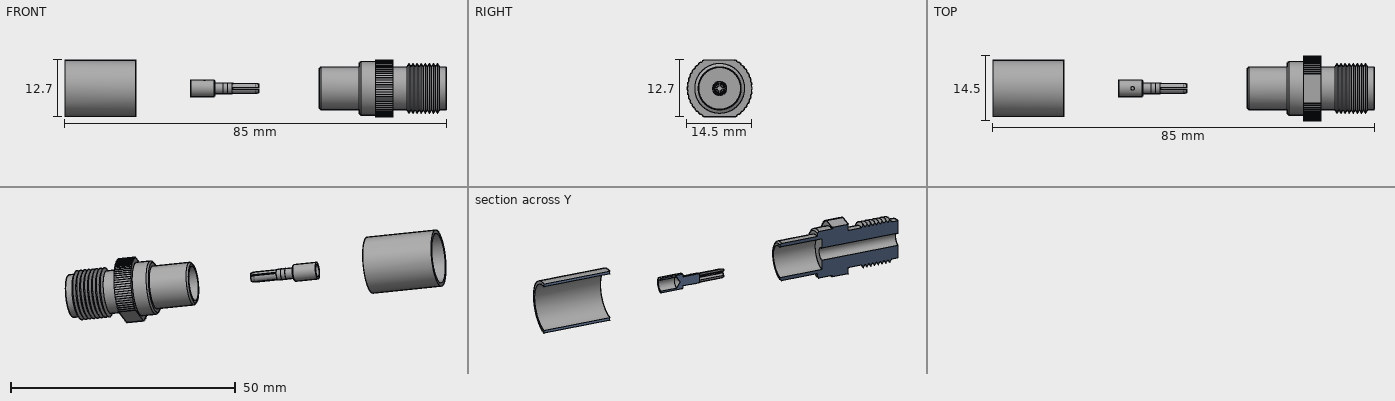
import cadquery as cq
import math

TOTAL_LENGTH = 84.95
TOOL_REACH = 10.0

FERRULE_LENGTH = 15.8
FERRULE_OUTER_RADIUS = 6.3
FERRULE_INNER_RADIUS = 5.55

CONTACT_START = 28.0
CONTACT_LENGTH = 15.2
CUP_LENGTH = 5.4
CUP_RADIUS = 1.9
CUP_CHAMFER = 0.25
CUP_BORE_RADIUS = 1.35
CUP_BORE_DEPTH = 3.8
DRILL_POINT_ANGLE = 118.0
SIGHT_HOLE_RADIUS = 0.4
SIGHT_HOLE_OFFSET = 3.1
SHANK_RADIUS = 1.2
BARB_RADIUS = 1.25
BARB_OFFSET = 7.2
BARB_PITCH = 1.0
BARB_COUNT = 2
TIP_SLOT_LENGTH = 5.8
TIP_SLOT_WIDTH = 0.3
TIP_RADIUS = 1.15
TIP_BORE_RADIUS = 0.6
TIP_NOSE_LENGTH = 0.8
TIP_END_RADIUS = 0.95

BODY_START = 56.6
BARREL_RADIUS = 4.8
BARREL_CHAMFER = 0.4
COLLAR_START = 65.5
COLLAR_RADIUS = 6.0
COLLAR_CHAMFER = 0.4
KNURL_START = 69.1
KNURL_LENGTH = 3.9
KNURL_RADIUS = 7.24
KNURL_TOOTH_COUNT = 42
KNURL_DEPTH = 0.12
KNURL_FLAT_SPACING = 12.7
NOSE_CHAMFER = 0.15
CABLE_BORE_RADIUS = 3.85
CABLE_BORE_DEPTH = 10.0
CONTACT_BORE_RADIUS = 1.5

THREAD_RADIUS = 5.55
THREAD_PITCH = 25.4 / 28
THREAD_RIDGE_COUNT = 8
THREAD_FIRST_CREST = 76.6


def revolve_about_x(profile):
    """Turn a sketch of (x, radius) points about the X axis."""
    return profile.close().revolve(360, (0, 0, 0), (1, 0, 0))


def cylinder_along_x(start, length, radius):
    return cq.Workplane("YZ", origin=(start, 0, 0)).circle(radius).extrude(length)


def make_ferrule():
    tube = cylinder_along_x(0, FERRULE_LENGTH, FERRULE_OUTER_RADIUS)
    return tube.cut(cylinder_along_x(0, FERRULE_LENGTH, FERRULE_INNER_RADIUS))


def make_contact():
    cup_end = CONTACT_START + CUP_LENGTH
    first_barb = CONTACT_START + BARB_OFFSET
    barbs_end = first_barb + BARB_COUNT * BARB_PITCH
    tip_end = CONTACT_START + CONTACT_LENGTH
    profile = (
        cq.Workplane("XY")
        .moveTo(CONTACT_START, 0)
        .lineTo(CONTACT_START, CUP_RADIUS)
        .lineTo(cup_end - CUP_CHAMFER, CUP_RADIUS)
        .lineTo(cup_end, CUP_RADIUS - CUP_CHAMFER)
        .lineTo(cup_end, SHANK_RADIUS)
        .lineTo(first_barb, SHANK_RADIUS)
    )
    for index in range(BARB_COUNT):
        barb_start = first_barb + index * BARB_PITCH
        profile = (
            profile.lineTo(barb_start, BARB_RADIUS)
            .lineTo(barb_start + BARB_PITCH, SHANK_RADIUS)
        )
    profile = (
        profile.lineTo(barbs_end, TIP_RADIUS)
        .lineTo(tip_end - TIP_NOSE_LENGTH, TIP_RADIUS)
        .tangentArcPoint((tip_end, TIP_END_RADIUS), relative=False)
        .lineTo(tip_end, 0)
    )
    contact = revolve_about_x(profile)

    bore_end = CONTACT_START + CUP_BORE_DEPTH
    drill_point_length = CUP_BORE_RADIUS / math.tan(math.radians(DRILL_POINT_ANGLE / 2))
    wire_bore = revolve_about_x(
        cq.Workplane("XY")
        .moveTo(CONTACT_START, 0)
        .lineTo(CONTACT_START, CUP_BORE_RADIUS)
        .lineTo(bore_end, CUP_BORE_RADIUS)
        .lineTo(bore_end + drill_point_length, 0)
    )
    contact = contact.cut(wire_bore)

    sight_hole_x = CONTACT_START + SIGHT_HOLE_OFFSET
    sight_plane = cq.Workplane("XY", origin=(sight_hole_x, 0, 0))
    contact = contact.cut(sight_plane.circle(SIGHT_HOLE_RADIUS).extrude(TOOL_REACH))

    slot_start = tip_end - TIP_SLOT_LENGTH
    slot_plane = cq.Workplane("YZ", origin=(slot_start, 0, 0))
    contact = contact.cut(slot_plane.rect(TIP_SLOT_WIDTH, TOOL_REACH).extrude(TIP_SLOT_LENGTH))
    contact = contact.cut(slot_plane.rect(TOOL_REACH, TIP_SLOT_WIDTH).extrude(TIP_SLOT_LENGTH))
    return contact.cut(cylinder_along_x(slot_start, TIP_SLOT_LENGTH, TIP_BORE_RADIUS))


def make_thread_ridge(crest_x):
    """Ring of triangular section, standing on the nose of the body."""
    half_base = THREAD_PITCH / 2
    return revolve_about_x(
        cq.Workplane("XY")
        .moveTo(crest_x - half_base, 0)
        .lineTo(crest_x - half_base, BARREL_RADIUS)
        .lineTo(crest_x, THREAD_RADIUS)
        .lineTo(crest_x + half_base, BARREL_RADIUS)
        .lineTo(crest_x + half_base, 0)
    )


def make_knurled_ring():
    """Ring with straight square teeth all round and two flats facing up and down."""
    ring = cylinder_along_x(KNURL_START, KNURL_LENGTH, KNURL_RADIUS)
    ring_plane = cq.Workplane("YZ", origin=(KNURL_START, 0, 0))

    groove_width = math.pi * KNURL_RADIUS / KNURL_TOOTH_COUNT
    grooves = (
        ring_plane.polarArray(KNURL_RADIUS, 180 / KNURL_TOOTH_COUNT, 360, KNURL_TOOTH_COUNT)
        .rect(2 * KNURL_DEPTH, groove_width)
        .extrude(KNURL_LENGTH)
    )
    flats = ring_plane.rect(2 * TOOL_REACH, KNURL_FLAT_SPACING).extrude(KNURL_LENGTH)
    return ring.cut(grooves).intersect(flats)


def make_body():
    turned = revolve_about_x(
        cq.Workplane("XY")
        .moveTo(BODY_START, 0)
        .lineTo(BODY_START, BARREL_RADIUS - BARREL_CHAMFER)
        .lineTo(BODY_START + BARREL_CHAMFER, BARREL_RADIUS)
        .lineTo(COLLAR_START, BARREL_RADIUS)
        .lineTo(COLLAR_START, COLLAR_RADIUS - COLLAR_CHAMFER)
        .lineTo(COLLAR_START + COLLAR_CHAMFER, COLLAR_RADIUS)
        .lineTo(KNURL_START, COLLAR_RADIUS)
        .lineTo(KNURL_START, BARREL_RADIUS)
        .lineTo(TOTAL_LENGTH - NOSE_CHAMFER, BARREL_RADIUS)
        .lineTo(TOTAL_LENGTH, BARREL_RADIUS - NOSE_CHAMFER)
        .lineTo(TOTAL_LENGTH, 0)
    )
    body = turned.union(make_knurled_ring())
    for index in range(THREAD_RIDGE_COUNT):
        body = body.union(make_thread_ridge(THREAD_FIRST_CREST + index * THREAD_PITCH))

    body = body.cut(cylinder_along_x(BODY_START, CABLE_BORE_DEPTH, CABLE_BORE_RADIUS))
    return body.cut(cylinder_along_x(BODY_START, TOTAL_LENGTH - BODY_START, CONTACT_BORE_RADIUS))


ferrule = make_ferrule()
contact = make_contact()
body = make_body()

result = cq.Compound.makeCompound([ferrule.val(), contact.val(), body.val()])